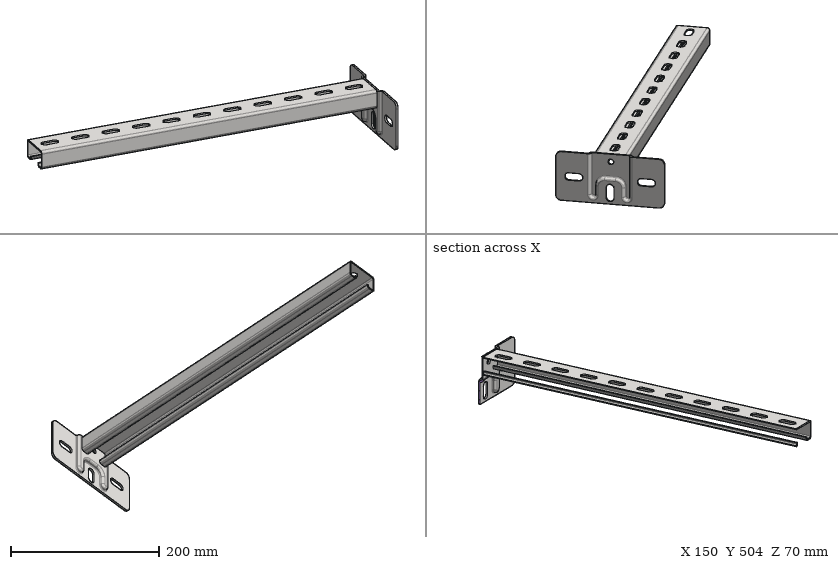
import cadquery as cq


slot_length = 24.5
slot_width = 10.5

plate_sheet = 2.9
plate_width = 150.0
plate_height = 70.0
plate_corner = 7.5
side_slot_spacing = 100.5
low_slot_depth = 54.0
small_hole_diameter = 7.5
small_hole_depth = 11.0

bracket_depth = 8.0
arch_half_width = 29.0
leg_width = 11.5
leg_bottom = 64.5
arch_corner = 10.0
arch_top = 35.5
crest_radius = 3.5
foot_radius = 1.25
foot_radius_back = foot_radius + plate_sheet

arm_sheet = 2.0
arm_bend = 3.8
total_length = 504.0
arm_width = 47.5
arm_height = 26.5
mouth_width = 21.5
lip_height = 5.5
arm_slot_count = 11
slot_row_span = 450.0
arm_slot_pitch = slot_row_span / (arm_slot_count - 1)
first_slot_distance = 31.0

overrun = 5.0


def arch_block(inset, y_front):
    """Solid of the arch outline, shrunk by inset, from the wall side forward to y_front."""
    outer = arch_half_width - inset
    inner = arch_half_width - leg_width + inset
    end_radius = leg_width / 2 - inset
    end_center = -(leg_bottom - leg_width / 2)
    corner = arch_corner + inset
    crown = -arch_top + inset
    leg_middle = (outer + inner) / 2
    end_tip = end_center - end_radius
    outline = (
        cq.Workplane("XZ")
        .moveTo(-outer, 0)
        .lineTo(-outer, end_center)
        .threePointArc((-leg_middle, end_tip), (-inner, end_center))
        .lineTo(-inner, crown - corner)
        .radiusArc((-inner + corner, crown), corner)
        .lineTo(inner - corner, crown)
        .radiusArc((inner, crown - corner), corner)
        .lineTo(inner, end_center)
        .threePointArc((leg_middle, end_tip), (outer, end_center))
        .lineTo(outer, 0)
        .close()
    )
    return outline.extrude(-y_front)


def rim_edges(body, y):
    """Edges of the arch outline in the plane y, without the straight edge at its top."""
    reach = arch_half_width + foot_radius
    margin = plate_sheet / 10
    box = cq.selectors.BoxSelector(
        (-reach, y - margin, -leg_bottom - margin),
        (reach, y + margin, -margin),
    )
    return body.edges(box)


def slot_cutter(plane, center, angle):
    """Slot-shaped cutter, symmetric about its plane and long enough to pass through a wall."""
    return (
        cq.Workplane(plane, origin=center)
        .slot2D(slot_length, slot_width, angle)
        .extrude(bracket_depth + overrun, both=True)
    )


def make_plate():
    plate = (
        cq.Workplane("XZ")
        .center(0, -plate_height / 2)
        .rect(plate_width, plate_height)
        .extrude(plate_sheet)
        .edges("|Y")
        .fillet(plate_corner)
    )

    raised = arch_block(0, -bracket_depth)
    raised = rim_edges(raised, -bracket_depth).fillet(crest_radius)
    plate = plate.union(raised)
    plate = rim_edges(plate, -plate_sheet).fillet(foot_radius)

    recess_floor = -(bracket_depth - plate_sheet)
    recess = arch_block(plate_sheet, recess_floor)
    recess = rim_edges(recess, recess_floor).fillet(crest_radius - plate_sheet)
    plate = plate.cut(recess)
    plate = rim_edges(plate, 0).fillet(foot_radius_back)

    for side in (-1, 1):
        center = (side * side_slot_spacing / 2, 0, -plate_height / 2)
        plate = plate.cut(slot_cutter("XZ", center, 0))
    plate = plate.cut(slot_cutter("XZ", (0, 0, -low_slot_depth), 90))
    small_hole = (
        cq.Workplane("XZ", origin=(0, 0, -small_hole_depth))
        .circle(small_hole_diameter / 2)
        .extrude(bracket_depth + overrun)
    )
    return plate.cut(small_hole)


def make_arm():
    half = arm_width / 2
    mouth = mouth_width / 2
    lip_top = -arm_height + lip_height
    right_half = [
        (half, 0),
        (half, -arm_height),
        (mouth, -arm_height),
        (mouth, lip_top),
        (mouth + arm_sheet, lip_top),
        (mouth + arm_sheet, -arm_height + arm_sheet),
        (half - arm_sheet, -arm_height + arm_sheet),
        (half - arm_sheet, -arm_sheet),
    ]
    left_half = [(-x, z) for x, z in reversed(right_half)]
    arm_length = total_length - bracket_depth
    arm = (
        cq.Workplane("XZ", origin=(0, -bracket_depth, 0))
        .polyline(right_half + left_half)
        .close()
        .extrude(arm_length)
    )

    bends = [
        (half, 0, -1, -1),
        (half, -arm_height, -1, 1),
        (mouth, -arm_height, 1, 1),
    ]
    middle = -bracket_depth - arm_length / 2
    for x, z, step_x, step_z in bends:
        for side in (-1, 1):
            outside = (side * x, middle, z)
            inside = (side * (x + step_x * arm_sheet), middle, z + step_z * arm_sheet)
            arm = arm.edges(cq.selectors.NearestToPointSelector(outside)).fillet(arm_bend)
            arm = arm.edges(cq.selectors.NearestToPointSelector(inside)).fillet(arm_bend - arm_sheet)

    for index in range(arm_slot_count):
        y = -first_slot_distance - index * arm_slot_pitch
        arm = arm.cut(slot_cutter("XY", (0, y, 0), 90))
    return arm


plate = make_plate()
arm = make_arm()

result = cq.Compound.makeCompound([plate.solids().val(), arm.solids().val()])